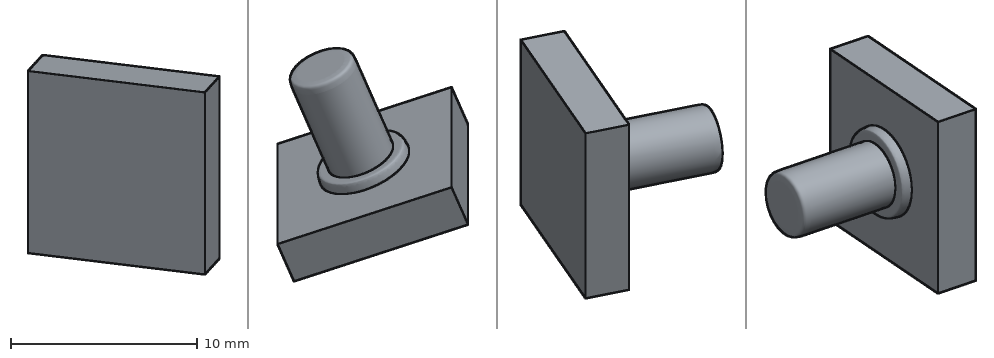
import cadquery as cq

plate_width = 10.0
plate_height = 10.5
plate_thickness = 2.5

collar_diameter = 5.15
collar_height = 0.59

overall_depth = 9.1
post_diameter = 3.75

rim_length = 0.5
post_rim_width = 0.5
collar_rim_width = 0.23
collar_rim_lean = 0.05
rim_fullness = 0.9


def rounded_boss(start, end, diameter, rim_width, rim_lean=0):
    """Boss along Y whose end rim is one smooth blend, tangent to the end face."""
    radius = diameter / 2
    rim_start = end - rim_length
    flat_radius = radius - rim_lean - rim_width
    wall_handle = (radius - rim_lean * rim_fullness, rim_start + rim_length * rim_fullness)
    face_handle = (flat_radius + rim_width * rim_fullness, end)
    profile = (
        cq.Workplane("XY")
        .moveTo(0, start)
        .lineTo(radius, start)
        .lineTo(radius, rim_start)
        .bezier([(radius, rim_start), wall_handle, face_handle, (flat_radius, end)])
        .lineTo(0, end)
        .close()
    )
    return profile.revolve(360, (0, 0, 0), (0, 1, 0))


plate = cq.Workplane("XY").box(
    plate_width, plate_thickness, plate_height, centered=(True, False, True)
)

collar_top = plate_thickness + collar_height
collar = rounded_boss(
    plate_thickness, collar_top, collar_diameter, collar_rim_width, collar_rim_lean
)
post = rounded_boss(collar_top, overall_depth, post_diameter, post_rim_width)

result = plate.union(collar).union(post)